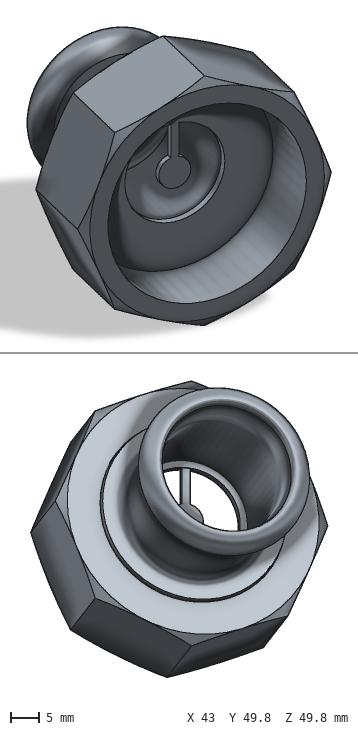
import cadquery as cq
import math

NECK_START = 22.95
NUT_START = 24.0
NUT_END = 43.0
COLLAR_THICKNESS = 3.0
FLANGE_THICKNESS = 3.0
STOP_THICKNESS = 1.5

TUBE_RADIUS = 25.2 / 2
BORE_RADIUS = 22.2 / 2
WALL = TUBE_RADIUS - BORE_RADIUS
BEAD_ARC_RADIUS = 2.95
BEAD_CENTER_RADIUS = 12.6
LIP_RADIUS = 11.95
LIP_ROUND = BEAD_CENTER_RADIUS - LIP_RADIUS
BORE_BLEND_RADIUS = 1.9
ROOT_FILLET = 1.85
NECK_RADIUS = 33.6 / 2
FLANGE_RADIUS = 38.5 / 2
STOP_RADIUS = 19.6 / 2
HUB_RADIUS = 3.15
ARM_WIDTH = 1.55
TAB_SETBACK = 0.25

NUT_ACROSS_CORNERS = 49.8
NUT_SIDES = 8
NUT_COLLAR_RADIUS = 34.0 / 2
NUT_BORE_RADIUS = 38.95 / 2
NUT_CHAMFER_DEPTH = 1.1
CHAMFER_ANGLE = 30.0

FLANGE_START = NUT_START + COLLAR_THICKNESS
FLANGE_END = FLANGE_START + FLANGE_THICKNESS
STOP_START = FLANGE_END - STOP_THICKNESS
DIAGONAL = math.sqrt(0.5)


def bead_point(radius, degrees):
    """Point on a circle about the bead center, as (x, distance from axis)."""
    angle = math.radians(degrees)
    return (
        BEAD_ARC_RADIUS + radius * math.cos(angle),
        BEAD_CENTER_RADIUS + radius * math.sin(angle),
    )


def revolve_about_x(profile):
    return profile.close().revolve(360, (0, 0, 0), (1, 0, 0))


def make_fitting_shell():
    """Tube with a rolled seal bead, a neck and a retaining flange."""
    groove_radius = BEAD_ARC_RADIUS - WALL

    taper_top = bead_point(BEAD_ARC_RADIUS, 45)
    taper_end_x = taper_top[0] + taper_top[1] - TUBE_RADIUS

    groove_end = bead_point(groove_radius, 45)
    blend_start_r = BORE_RADIUS + BORE_BLEND_RADIUS * (1 - DIAGONAL)
    blend_start_x = groove_end[0] + groove_end[1] - blend_start_r
    blend_end_x = blend_start_x + BORE_BLEND_RADIUS * DIAGONAL
    blend_half = math.radians(22.5)
    blend_mid = (
        blend_end_x - BORE_BLEND_RADIUS * math.sin(blend_half),
        BORE_RADIUS + BORE_BLEND_RADIUS * (1 - math.cos(blend_half)),
    )

    lip_angle = 180 + math.degrees(math.asin(LIP_ROUND / groove_radius))
    groove_start = bead_point(groove_radius, lip_angle)

    profile = (
        cq.Workplane("XY")
        .moveTo(0, BEAD_CENTER_RADIUS)
        .threePointArc(bead_point(BEAD_ARC_RADIUS, 112.5), taper_top)
        .lineTo(taper_end_x, TUBE_RADIUS)
        .lineTo(NECK_START - ROOT_FILLET, TUBE_RADIUS)
        .threePointArc(
            (
                NECK_START - ROOT_FILLET * (1 - DIAGONAL),
                TUBE_RADIUS + ROOT_FILLET * (1 - DIAGONAL),
            ),
            (NECK_START, TUBE_RADIUS + ROOT_FILLET),
        )
        .lineTo(NECK_START, NECK_RADIUS)
        .lineTo(FLANGE_START, NECK_RADIUS)
        .lineTo(FLANGE_START, FLANGE_RADIUS)
        .lineTo(FLANGE_END, FLANGE_RADIUS)
        .lineTo(FLANGE_END, STOP_RADIUS)
        .lineTo(STOP_START, STOP_RADIUS)
        .lineTo(STOP_START, BORE_RADIUS)
        .lineTo(blend_end_x, BORE_RADIUS)
        .threePointArc(blend_mid, (blend_start_x, blend_start_r))
        .lineTo(*groove_end)
        .threePointArc(bead_point(groove_radius, (45 + lip_angle) / 2), groove_start)
        .lineTo(LIP_ROUND, LIP_RADIUS)
        .threePointArc(
            (LIP_ROUND * (1 - DIAGONAL), BEAD_CENTER_RADIUS - LIP_ROUND * DIAGONAL),
            (0, BEAD_CENTER_RADIUS),
        )
    )
    return revolve_about_x(profile)


def make_tab():
    """Central disc on an arm that hangs from the stop ring."""
    tab_start = STOP_START + TAB_SETBACK
    tab_thickness = FLANGE_END - tab_start
    arm_length = (STOP_RADIUS + BORE_RADIUS) / 2
    plane = cq.Workplane("YZ", origin=(tab_start, 0, 0))
    hub = plane.circle(HUB_RADIUS).extrude(tab_thickness)
    arm = plane.center(0, arm_length / 2).rect(ARM_WIDTH, arm_length).extrude(tab_thickness)
    return hub.union(arm)


def make_fitting():
    """Shell and tab joined as one solid."""
    return make_fitting_shell().union(make_tab())


def make_nut():
    """Octagonal nut with chamfered corners and a collar behind the flange."""
    corner_radius = NUT_ACROSS_CORNERS / 2
    face_radius = corner_radius - NUT_CHAMFER_DEPTH / math.tan(math.radians(CHAMFER_ANGLE))
    octagon = (
        cq.Workplane("YZ", origin=(NUT_START, 0, 0))
        .polygon(NUT_SIDES, NUT_ACROSS_CORNERS)
        .extrude(NUT_END - NUT_START)
    )
    chamfered_ring = revolve_about_x(
        cq.Workplane("XY")
        .moveTo(NUT_START, NUT_COLLAR_RADIUS)
        .lineTo(NUT_START, face_radius)
        .lineTo(NUT_START + NUT_CHAMFER_DEPTH, corner_radius)
        .lineTo(NUT_END - NUT_CHAMFER_DEPTH, corner_radius)
        .lineTo(NUT_END, face_radius)
        .lineTo(NUT_END, NUT_BORE_RADIUS)
        .lineTo(FLANGE_START, NUT_BORE_RADIUS)
        .lineTo(FLANGE_START, NUT_COLLAR_RADIUS)
    )
    return octagon.intersect(chamfered_ring)


fitting = make_fitting()
nut = make_nut()
result = cq.Compound.makeCompound([*fitting.solids().vals(), *nut.solids().vals()])